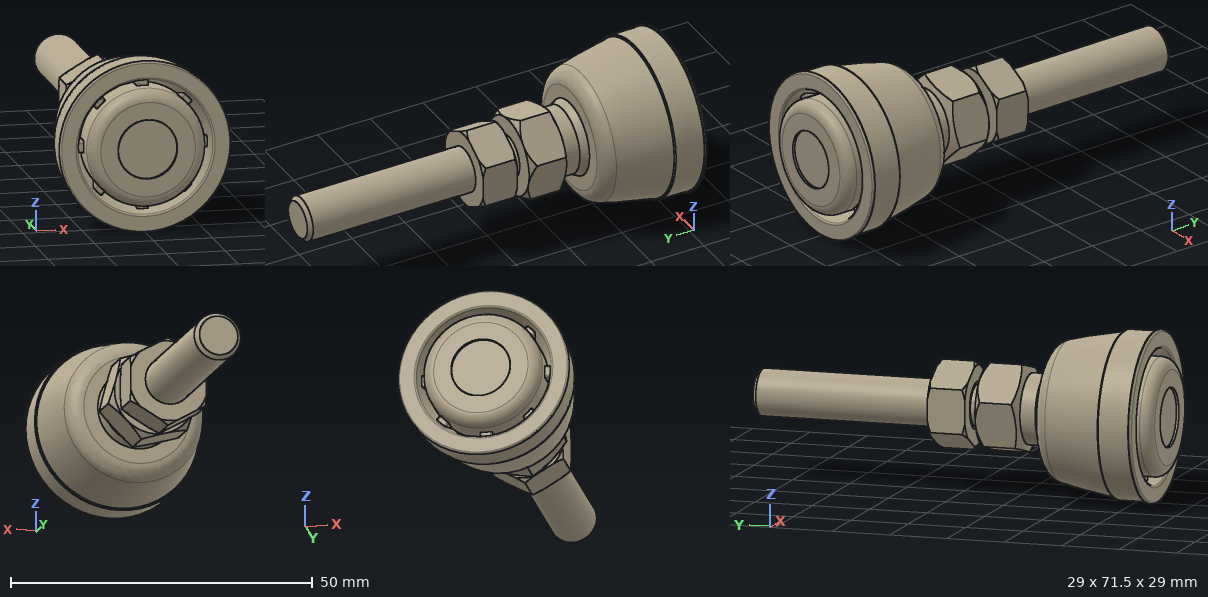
import cadquery as cq
import math


spindle_top = 71.5
rod_radius = 4.0
rod_end_chamfer = 0.7
relief_radius = 3.6
relief_base_radius = 3.8
relief_cone_height = 0.85
hex_bottom = 24.1
hex_top = 31.6
hex_across_flats = 14.0
hex_turn = 45.0
hex_top_chamfer = 1.1
hex_bottom_chamfer = 0.9
neck_radius = 6.0
neck_bottom = 21.45
flare_slope = 0.5

nut_bottom = 33.5
nut_height = 6.5
nut_across_flats = 13.0
nut_turn = 90.0
nut_face_radius = 6.8
nut_chamfer_height = 0.5

housing_bottom = 8.0
housing_top = 20.0
housing_bottom_radius = 13.95
housing_middle_radius = 13.1
housing_middle_height = 12.9
housing_corner_radius = 11.4
housing_fillet = 2.85

foot_radius = 10.0
foot_fillet = 2.0
foot_recess_radius = 5.0
foot_recess_depth = 0.4
band_bottom = 2.0
band_top_radius = 14.2
band_bottom_radius = 14.3
band_chamfer = 0.2
flange_radius = 14.5
flange_height = 0.5
flange_fillet = 0.3
groove_radius = 11.5
groove_top = 7.0
lip_fillet = 0.35
rib_count = 8
rib_width = 2.0
rib_bottom = 4.0
rib_fillet = 0.3

flare_bottom = neck_bottom - (foot_radius - neck_radius) / flare_slope


def flare_radius(height):
    return neck_radius + flare_slope * (neck_bottom - height)


def revolve_about_y(sketch):
    """Close an outline of (radius, height) points and turn it about the Y axis."""
    return sketch.close().revolve(360, (0, 0, 0), (0, 1, 0))


def turned(points):
    return revolve_about_y(cq.Workplane("XY").polyline(points))


def corner_radius(across_flats):
    return across_flats / math.sqrt(3)


def hexagon_bar(across_flats, bottom, top, turn):
    """Hexagonal prism along Y with one corner at the angle `turn` from +X toward +Z."""
    bar = cq.Workplane("XZ").polygon(6, 2 * corner_radius(across_flats)).extrude(bottom - top)
    return bar.rotate((0, 0, 0), (0, 1, 0), -turn).translate((0, bottom, 0))


def make_spindle():
    hex_corner = corner_radius(hex_across_flats)
    hex_bar = hexagon_bar(hex_across_flats, hex_bottom, hex_top, hex_turn)
    chamfer_limit = turned([
        (0, hex_bottom),
        (neck_radius, hex_bottom),
        (hex_corner, hex_bottom + hex_bottom_chamfer),
        (hex_corner, hex_top - hex_top_chamfer),
        (hex_across_flats / 2, hex_top),
        (0, hex_top),
    ])
    hex_bar = hex_bar.intersect(chamfer_limit)
    shaft = turned([
        (0, flare_bottom),
        (foot_radius, flare_bottom),
        (neck_radius, neck_bottom),
        (neck_radius, hex_bottom),
        (relief_base_radius, hex_bottom),
        (relief_base_radius, hex_top),
        (relief_radius, hex_top + relief_cone_height),
        (relief_radius, nut_bottom),
        (rod_radius, nut_bottom),
        (rod_radius, spindle_top - rod_end_chamfer),
        (rod_radius - rod_end_chamfer, spindle_top),
        (0, spindle_top),
    ])
    return shaft.union(hex_bar)


def make_lock_nut():
    nut_top = nut_bottom + nut_height
    nut_corner = corner_radius(nut_across_flats)
    chamfered_ring = turned([
        (rod_radius, nut_bottom),
        (nut_face_radius, nut_bottom),
        (nut_corner, nut_bottom + nut_chamfer_height),
        (nut_corner, nut_top - nut_chamfer_height),
        (nut_face_radius, nut_top),
        (rod_radius, nut_top),
    ])
    return hexagon_bar(nut_across_flats, nut_bottom, nut_top, nut_turn).intersect(chamfered_ring)


def make_housing():
    outline = (
        cq.Workplane("XY")
        .moveTo(foot_radius, housing_bottom)
        .lineTo(housing_bottom_radius, housing_bottom)
        .threePointArc((housing_middle_radius, housing_middle_height), (housing_corner_radius, housing_top))
        .lineTo(flare_radius(housing_top), housing_top)
        .lineTo(foot_radius, flare_bottom)
    )
    housing = revolve_about_y(outline)
    outer_top_edge = cq.selectors.RadiusNthSelector(-1)
    return housing.faces(">Y").edges(outer_top_edge).fillet(housing_fillet)


def make_foot():
    foot = cq.Workplane("XZ").circle(foot_radius).extrude(-flare_bottom)
    foot = foot.faces("<Y").edges().fillet(foot_fillet)
    recess = cq.Workplane("XZ").circle(foot_recess_radius).extrude(-foot_recess_depth)
    return foot.cut(recess)


def make_band():
    """Outer band with a groove around the foot, closing to the foot's radius at its top."""
    flange_top = band_bottom + flange_height
    band = turned([
        (foot_radius, groove_top),
        (groove_radius, band_bottom),
        (flange_radius, band_bottom),
        (flange_radius, flange_top),
        (band_bottom_radius, flange_top),
        (band_top_radius, housing_bottom - band_chamfer),
        (band_top_radius - band_chamfer, housing_bottom),
        (foot_radius, housing_bottom),
    ])
    band = band.faces("<Y").edges(cq.selectors.RadiusNthSelector(0)).fillet(lip_fillet)
    return band.faces("<Y").edges(cq.selectors.RadiusNthSelector(-1)).fillet(flange_fillet)


def make_rib(angle):
    """Rib bridging the groove, buried in the foot at one end and in the band at the other."""
    rib_start = foot_radius / 2
    rib = cq.Workplane("XY").box(
        groove_radius - rib_start,
        groove_top - rib_bottom,
        rib_width,
        centered=(False, False, True),
    )
    rib = rib.faces("<Y").edges("|X").fillet(rib_fillet)
    rib = rib.translate((rib_start, rib_bottom, 0))
    return rib.rotate((0, 0, 0), (0, 1, 0), angle)


def make_pad():
    pad = make_foot().union(make_band())
    for index in range(rib_count):
        pad = pad.union(make_rib(index * 360 / rib_count))
    return pad


spindle = make_spindle()
lock_nut = make_lock_nut()
housing = make_housing()
pad = make_pad()

result = cq.Compound.makeCompound([spindle.val(), lock_nut.val(), housing.val(), pad.val()])